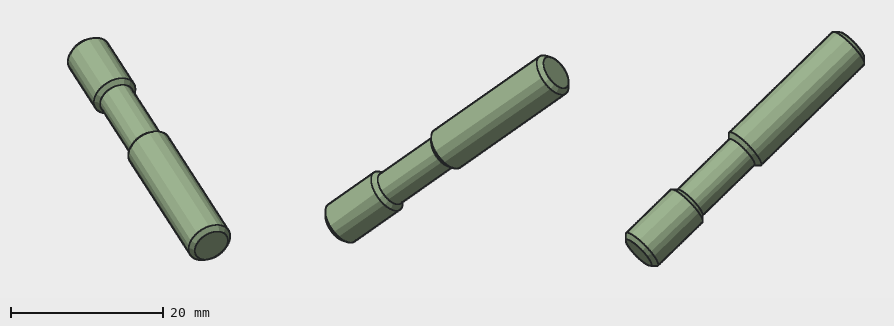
import cadquery as cq

total_length = 40.0
shank_diameter = 6.0
neck_diameter = 4.75
short_shank_end = 9.0
long_shank_start = 20.0

shank_radius = shank_diameter / 2
neck_radius = neck_diameter / 2
chamfer = shank_radius - neck_radius


def tapered_shank(start, end):
    """Cylinder along X from start to end, chamfered at both ends."""
    return (
        cq.Workplane("YZ", origin=(start, 0, 0))
        .circle(shank_radius)
        .extrude(end - start)
        .edges()
        .chamfer(chamfer)
    )


short_shank = tapered_shank(0, short_shank_end + chamfer)
long_shank = tapered_shank(long_shank_start - chamfer, total_length)

neck_start = short_shank_end + chamfer
neck_length = long_shank_start - chamfer - neck_start
neck = cq.Workplane("YZ", origin=(neck_start, 0, 0)).circle(neck_radius).extrude(neck_length)

result = short_shank.union(neck).union(long_shank)